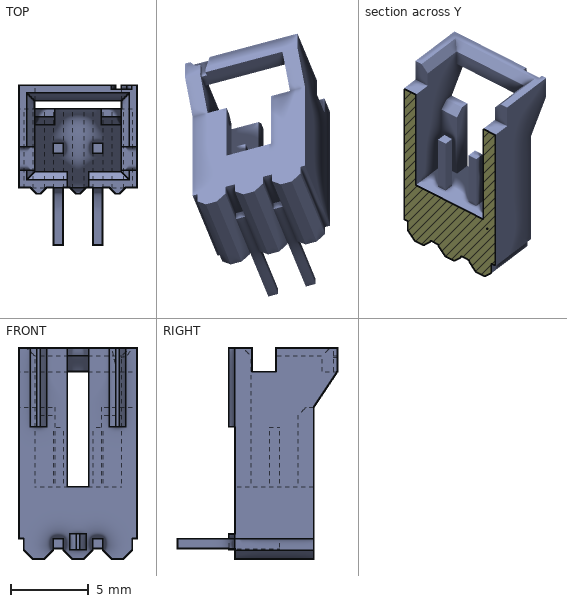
import cadquery as cq


width = 7.62
height = 13.59
body_depth = 5.08
overhang = 1.524
lip_height = 1.524
slope_end_drop = 3.81
full_depth = body_depth + overhang

wall = 1.02
rim_chamfer = 0.51
floor_z = 4.66
cavity_width = width - 2 * wall

slot_width = 1.36
side_notch_start = 1.12
side_notch_size = 1.524

post_width = 1.29
post_depth = 1.04
post_chamfer = 0.52
post_top_z = height - slope_end_drop

pitch = 2.54
pin_size = 0.64
pin_reach = 3.686
pin_axis_y = 2.54
pin_top_z = 8.5
foot_height = 1.32
foot_chamfer = 0.58
foot_width = pitch - pin_size

rib_projection = 0.4
rib_crest_width = 0.25
rib_length = 5.08
low_rib_length = 1.02
low_rib_z = 0.61

mark_depth = 0.26
mark_left = 2.15
mark_right = 3.45
mark_channel_left = 2.42
mark_channel_right = 2.77
mark_shelf_right = 3.14
mark_left_drop = 1.2
mark_right_drop = 0.5
mark_shelf_drop = 0.6


def box(x_range, y_range, z_range):
    """Axis-aligned block given by its limits on each axis."""
    size = [end - start for start, end in (x_range, y_range, z_range)]
    corner = (x_range[0], y_range[0], z_range[0])
    return cq.Workplane("XY").box(*size, centered=False).translate(corner)


def centred(size, middle=0.0):
    """Limits of a span of the given size about its middle."""
    return (middle - size / 2, middle + size / 2)


def make_housing():
    """Side profile with a sloped rear overhang, extruded across the width."""
    profile = [
        (0, foot_height),
        (0, height),
        (full_depth, height),
        (full_depth, height - lip_height),
        (body_depth, height - slope_end_drop),
        (body_depth, foot_height),
    ]
    return cq.Workplane("YZ").polyline(profile).close().extrude(width / 2, both=True)


def make_cavity():
    """Open-topped cavity with a chamfered mouth, also open to the rear below the lip."""
    inside_depth = full_depth - 2 * wall
    shaft = box(centred(cavity_width), (wall, full_depth - wall), (floor_z, height))
    rear_opening = box(centred(cavity_width), (wall, full_depth), (floor_z, height - lip_height))
    mouth = (
        cq.Workplane("XY")
        .workplane(offset=height - rim_chamfer)
        .center(0, full_depth / 2)
        .rect(cavity_width, inside_depth)
        .workplane(offset=rim_chamfer)
        .rect(cavity_width + 2 * rim_chamfer, inside_depth + 2 * rim_chamfer)
        .loft(ruled=True)
    )
    return shaft.union(rear_opening).union(mouth)


def make_wall_openings():
    """Tall slot in the front wall and a notch across both side walls."""
    front_slot = box(centred(slot_width), (0, wall), (floor_z, height))
    notch_y = (side_notch_start, side_notch_start + side_notch_size)
    side_notches = box(centred(width), notch_y, (height - side_notch_size, height))
    return front_slot.union(side_notches)


def make_mark():
    """Shallow notch with sloped shoulders, narrowing to a channel through the lip."""
    outline = [
        (mark_left, height),
        (mark_channel_left, height - mark_left_drop),
        (mark_channel_left, height - lip_height),
        (mark_channel_right, height - lip_height),
        (mark_channel_right, height - mark_shelf_drop),
        (mark_shelf_right, height - mark_right_drop),
        (mark_right, height),
    ]
    return (
        cq.Workplane("XZ", origin=(0, full_depth, 0))
        .polyline(outline)
        .close()
        .extrude(mark_depth)
    )


def make_post(side):
    """Rear corner post, chamfered along its front top edge; side is -1 or 1."""
    front_y = body_depth - post_depth
    profile = [
        (front_y, floor_z),
        (front_y, post_top_z - post_chamfer),
        (front_y + post_chamfer, post_top_z),
        (body_depth, post_top_z),
        (body_depth, floor_z),
    ]
    middle_x = side * (cavity_width - post_width) / 2
    return (
        cq.Workplane("YZ", origin=(middle_x, 0, 0))
        .polyline(profile)
        .close()
        .extrude(post_width / 2, both=True)
    )


def make_foot(x):
    """Foot running front to back with chamfered lower edges."""
    return (
        box(centred(foot_width, x), (0, body_depth), (0, foot_height))
        .edges("|Y and <Z")
        .chamfer(foot_chamfer)
    )


def make_rib(x, bottom_z, length):
    """Vertical rib on the front face with 45 degree flanks."""
    half_crest = rib_crest_width / 2
    half_base = half_crest + rib_projection
    outline = [
        (x - half_base, 0),
        (x - half_crest, -rib_projection),
        (x + half_crest, -rib_projection),
        (x + half_base, 0),
    ]
    return cq.Workplane("XY", origin=(0, 0, bottom_z)).polyline(outline).close().extrude(length)


def make_pin(x):
    """Square contact bent at a right angle: out of the front and up into the cavity."""
    pin_x = centred(pin_size, x)
    upright_y = centred(pin_size, pin_axis_y)
    pin_bottom_z = foot_height - pin_size
    tail = box(pin_x, (-pin_reach, upright_y[1]), (pin_bottom_z, foot_height))
    upright = box(pin_x, upright_y, (pin_bottom_z, pin_top_z))
    return tail.union(upright)


result = make_housing().cut(make_cavity()).cut(make_wall_openings()).cut(make_mark())

for side in (-1, 1):
    result = result.union(make_post(side))
    result = result.union(make_rib(side * pitch, height - rib_length, rib_length))

for position in (-1, 0, 1):
    result = result.union(make_foot(position * pitch))

result = result.union(make_rib(0, low_rib_z, low_rib_length))

for position in (-0.5, 0.5):
    result = result.union(make_pin(position * pitch))